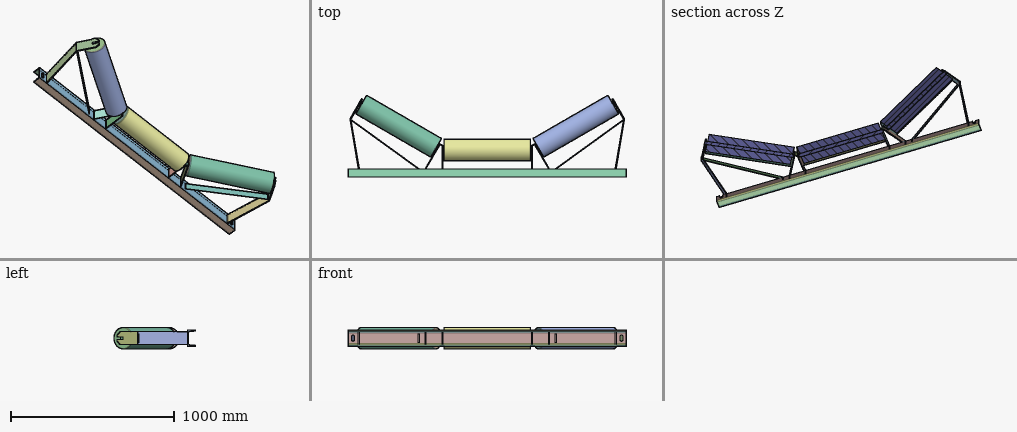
import cadquery as cq
import math


ROLLER_DIAMETER = 133.0
ROLLER_LENGTH = 530.0
RIM_RADIUS = 3.0
TROUGH_ANGLE = 30.0
CENTRE_AXIS_Y = 166.0
OVERALL_HEIGHT = 499.8

SHAFT_DIAMETER = 20.0
SHAFT_FLAT_WIDTH = 16.0

BEAM_LENGTH = 1700.0
BEAM_WIDTH = 100.0
BEAM_DEPTH = 50.0
WEB_THICKNESS = 6.0
FLANGE_THICKNESS = 8.5
FLANGE_SLOPE = 0.08
ROOT_RADIUS = 8.5
TIP_RADIUS = 4.5
MOUNT_SLOT_WIDTH = 18.0
MOUNT_SLOT_HEIGHT = 38.0
MOUNT_SLOT_END_DISTANCE = 30.0

PLATE_THICKNESS = 8.0
PLATE_WIDTH = 80.0
OUTER_PLATE_GAP = 8.0
INNER_PLATE_GAP = 5.0
TIP_ABOVE_AXIS = 33.0
TIP_CHAMFER = 20.0
INNER_PLATE_THICKNESS = 5.0
KNEE_BELOW_AXIS = 110.0
LEG_FOOT_X = 788.6
STRUT_THICKNESS = 4.0
STRUT_FOOT_X = 415.0
STRUT_WIDTH = 50.0

SIDE_CENTRE_X = 541.0
COS = math.cos(math.radians(TROUGH_ANGLE))
SIN = math.sin(math.radians(TROUGH_ANGLE))
HALF_LENGTH = ROLLER_LENGTH / 2
RIM_CENTRE_ALONG = HALF_LENGTH - RIM_RADIUS
RIM_CENTRE_NORMAL = ROLLER_DIAMETER / 2 - RIM_RADIUS
SIDE_CENTRE_Y = OVERALL_HEIGHT - RIM_CENTRE_ALONG * SIN - RIM_CENTRE_NORMAL * COS - RIM_RADIUS
OUTER_PLATE_START = HALF_LENGTH + OUTER_PLATE_GAP
OUTER_PLATE_END = OUTER_PLATE_START + PLATE_THICKNESS
INNER_PLATE_START = HALF_LENGTH + INNER_PLATE_GAP
INNER_PLATE_END = INNER_PLATE_START + INNER_PLATE_THICKNESS


def side_point(along, normal):
    """Point on the +X side, measured in the frame of the tilted roller."""
    return (
        SIDE_CENTRE_X + along * COS - normal * SIN,
        SIDE_CENTRE_Y + along * SIN + normal * COS,
    )


def normal_at_height(along, height):
    """Normal offset at which the line of constant "along" crosses a given Y."""
    return (height - SIDE_CENTRE_Y - along * SIN) / COS


def ridge_height(x, normal):
    """Y at which the line of constant "normal" crosses a given X."""
    start_x, start_y = side_point(0, normal)
    return start_y + (x - start_x) * SIN / COS


CENTRE_PLACEMENT = (0.0, CENTRE_AXIS_Y, 0.0)
RIGHT_PLACEMENT = (SIDE_CENTRE_X, SIDE_CENTRE_Y, TROUGH_ANGLE)
LEFT_PLACEMENT = (-SIDE_CENTRE_X, SIDE_CENTRE_Y, -TROUGH_ANGLE)
PLACEMENTS = [CENTRE_PLACEMENT, RIGHT_PLACEMENT, LEFT_PLACEMENT]

SHAFT_REACHES = [
    (INNER_PLATE_END, INNER_PLATE_END),
    (INNER_PLATE_END, OUTER_PLATE_END),
    (OUTER_PLATE_END, INNER_PLATE_END),
]


def place(body, placement):
    x, y, tilt = placement
    return body.rotate((0, 0, 0), (0, 0, 1), tilt).translate((x, y, 0))


def make_roller():
    """Roller drum bored for its shaft, axis on X."""
    return (
        cq.Workplane("YZ")
        .workplane(offset=-HALF_LENGTH)
        .circle(ROLLER_DIAMETER / 2)
        .circle(SHAFT_DIAMETER / 2)
        .extrude(ROLLER_LENGTH)
        .edges(cq.selectors.RadiusNthSelector(1))
        .fillet(RIM_RADIUS)
    )


def make_shaft(left_reach, right_reach):
    """Round shaft on X whose ends are flattened where they drop into the plate slots."""
    shaft = cq.Workplane("YZ").workplane(offset=-left_reach).circle(SHAFT_DIAMETER / 2)
    shaft = shaft.extrude(left_reach + right_reach)
    for start, end in ((-left_reach, -INNER_PLATE_START), (INNER_PLATE_START, right_reach)):
        shaft_end = cq.Workplane("XY").box(end - start, SHAFT_DIAMETER, SHAFT_DIAMETER)
        flat_bar = cq.Workplane("XY").box(end - start, SHAFT_DIAMETER, SHAFT_FLAT_WIDTH)
        waste = shaft_end.cut(flat_bar).translate(((start + end) / 2, 0, 0))
        shaft = shaft.cut(waste)
    return shaft


def make_beam():
    """Tapered-flange channel with its web on the +Y side and its flanges towards -Y."""
    half = BEAM_WIDTH / 2
    inner_y = BEAM_DEPTH - WEB_THICKNESS
    taper = FLANGE_SLOPE * BEAM_DEPTH / 2
    tip_z = half - FLANGE_THICKNESS + taper
    root_z = half - FLANGE_THICKNESS - taper
    outline = [
        (0, half), (BEAM_DEPTH, half), (BEAM_DEPTH, -half), (0, -half),
        (0, -tip_z), (inner_y, -root_z), (inner_y, root_z), (0, tip_z),
    ]
    beam = cq.Workplane("YZ").polyline(outline).close().extrude(BEAM_LENGTH)
    beam = beam.translate((-BEAM_LENGTH / 2, 0, 0))
    for side in (-1, 1):
        root = cq.selectors.NearestToPointSelector((0, inner_y, side * root_z))
        beam = beam.edges(root).fillet(ROOT_RADIUS)
        tip = cq.selectors.NearestToPointSelector((0, 0, side * tip_z))
        beam = beam.edges(tip).fillet(TIP_RADIUS)
    slot_x = BEAM_LENGTH / 2 - MOUNT_SLOT_END_DISTANCE
    slots = (
        cq.Workplane("XZ")
        .pushPoints([(-slot_x, 0), (slot_x, 0)])
        .slot2D(MOUNT_SLOT_HEIGHT, MOUNT_SLOT_WIDTH, 90)
        .extrude(-BEAM_DEPTH)
    )
    return beam.cut(slots)


def plate(outline, width=PLATE_WIDTH):
    """Flat bar bent to an outline in the XY plane, centred on Z."""
    return cq.Workplane("XY").polyline(outline).close().extrude(width).translate((0, 0, -width / 2))


def chamfer_tips(bar, tip_y):
    """Cut the two corners off the top of an upright bar."""
    half = PLATE_WIDTH / 2
    for side in (-1, 1):
        corner = (
            cq.Workplane("YZ")
            .polyline([
                (tip_y, side * half),
                (tip_y - TIP_CHAMFER, side * half),
                (tip_y, side * (half - TIP_CHAMFER)),
            ])
            .close()
            .extrude(2 * BEAM_LENGTH, both=True)
        )
        bar = bar.cut(corner)
    return bar


def roller_plate(inner, outer, bottom):
    """Upright bar at one end of a roller, in the roller's own frame."""
    bar = plate([(inner, bottom), (outer, bottom), (outer, TIP_ABOVE_AXIS), (inner, TIP_ABOVE_AXIS)])
    return chamfer_tips(bar, TIP_ABOVE_AXIS)


def shaft_slot(inner, outer):
    """Open slot with a round bottom that takes the flattened shaft end."""
    radius = SHAFT_DIAMETER / 2
    seat = (
        cq.Workplane("YZ")
        .workplane(offset=inner)
        .circle(radius)
        .extrude(outer - inner)
    )
    flats = cq.Workplane("XY").box(outer - inner, SHAFT_DIAMETER, SHAFT_FLAT_WIDTH)
    flats = flats.translate(((inner + outer) / 2, 0, 0))
    opening = cq.Workplane("XY").box(outer - inner, TIP_ABOVE_AXIS, SHAFT_FLAT_WIDTH)
    opening = opening.translate(((inner + outer) / 2, TIP_ABOVE_AXIS / 2, 0))
    return seat.intersect(flats).union(opening)


def fold_inner_bracket():
    """Plate folded over between two rollers: tilted wall, sloping ridge and upright wall."""
    ridge_top = TIP_ABOVE_AXIS
    ridge_under = ridge_top - INNER_PLATE_THICKNESS
    return plate([
        side_point(-INNER_PLATE_START, normal_at_height(-INNER_PLATE_START, BEAM_DEPTH)),
        side_point(-INNER_PLATE_START, ridge_top),
        (INNER_PLATE_START, ridge_height(INNER_PLATE_START, ridge_top)),
        (INNER_PLATE_START, BEAM_DEPTH),
        (INNER_PLATE_END, BEAM_DEPTH),
        (INNER_PLATE_END, ridge_height(INNER_PLATE_END, ridge_under)),
        side_point(-INNER_PLATE_END, ridge_under),
        side_point(-INNER_PLATE_END, normal_at_height(-INNER_PLATE_END, BEAM_DEPTH)),
    ])


def make_side_frame():
    """Brackets of the +X side: outer plate, leg, strut and the folded inner bracket."""
    outer = place(roller_plate(OUTER_PLATE_START, OUTER_PLATE_END, -KNEE_BELOW_AXIS), RIGHT_PLACEMENT)

    knee_out = side_point(OUTER_PLATE_END, -KNEE_BELOW_AXIS)
    knee_in = side_point(OUTER_PLATE_START, -KNEE_BELOW_AXIS)
    leg = plate([
        knee_out,
        knee_in,
        (LEG_FOOT_X - PLATE_THICKNESS, BEAM_DEPTH),
        (LEG_FOOT_X, BEAM_DEPTH),
    ])

    run_x = knee_in[0] - STRUT_FOOT_X
    rise = knee_in[1] - BEAM_DEPTH
    foot_width = STRUT_THICKNESS * math.hypot(run_x, rise) / rise
    strut = plate([
        knee_in,
        (STRUT_FOOT_X, BEAM_DEPTH),
        (STRUT_FOOT_X + foot_width, BEAM_DEPTH),
        (knee_in[0] + foot_width, knee_in[1]),
    ], STRUT_WIDTH)

    bracket = fold_inner_bracket()
    frame = outer.union(leg).union(strut).union(bracket)
    frame = frame.cut(place(shaft_slot(OUTER_PLATE_START, OUTER_PLATE_END), RIGHT_PLACEMENT))
    frame = frame.cut(place(shaft_slot(-INNER_PLATE_END, -INNER_PLATE_START), RIGHT_PLACEMENT))
    return frame.cut(place(shaft_slot(INNER_PLATE_START, INNER_PLATE_END), CENTRE_PLACEMENT))


def make_frame():
    """Beam with a mirrored set of brackets welded on each side."""
    right = make_side_frame()
    return make_beam().union(right).union(right.mirror("YZ"))


frame = make_frame()
rollers = [place(make_roller(), placement) for placement in PLACEMENTS]
shafts = [place(make_shaft(*reach), placement) for reach, placement in zip(SHAFT_REACHES, PLACEMENTS)]

result = cq.Compound.makeCompound(
    [frame.val()] + [roller.val() for roller in rollers] + [shaft.val() for shaft in shafts]
)